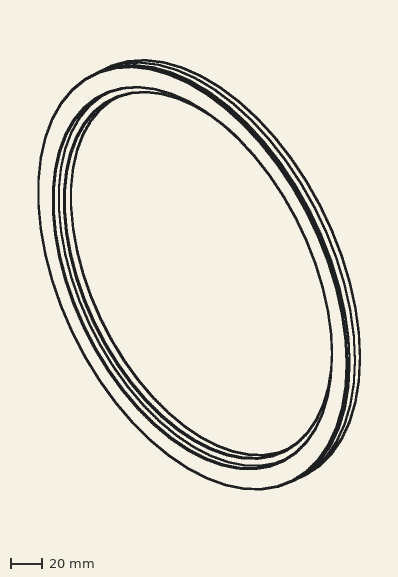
import cadquery as cq

outer_radius = 145.0
bore_radius = 125.3
thickness = 12.0
edge_chamfer = 0.44
bore_back_chamfer = 1.2

recess_radius = 130.5
recess_depth = 5.0

groove_radius = 2.3
front_flange = 2.3

front_y = -thickness / 2
back_y = thickness / 2
ledge_y = front_y + recess_depth
groove_start_y = front_y + front_flange
groove_middle_y = groove_start_y + groove_radius
groove_end_y = groove_middle_y + groove_radius
groove_floor_radius = outer_radius - groove_radius

section = (
    cq.Workplane("XY")
    .moveTo(recess_radius + edge_chamfer, front_y)
    .lineTo(outer_radius - edge_chamfer, front_y)
    .lineTo(outer_radius, front_y + edge_chamfer)
    .lineTo(outer_radius, groove_start_y)
    .radiusArc((groove_floor_radius, groove_middle_y), groove_radius)
    .radiusArc((outer_radius, groove_end_y), groove_radius)
    .lineTo(outer_radius, back_y - edge_chamfer)
    .lineTo(outer_radius - edge_chamfer, back_y)
    .lineTo(bore_radius + bore_back_chamfer, back_y)
    .lineTo(bore_radius, back_y - bore_back_chamfer)
    .lineTo(bore_radius, ledge_y + edge_chamfer)
    .lineTo(bore_radius + edge_chamfer, ledge_y)
    .lineTo(recess_radius, ledge_y)
    .lineTo(recess_radius, front_y + edge_chamfer)
    .close()
)

result = section.revolve(360, (0, 0, 0), (0, 1, 0))